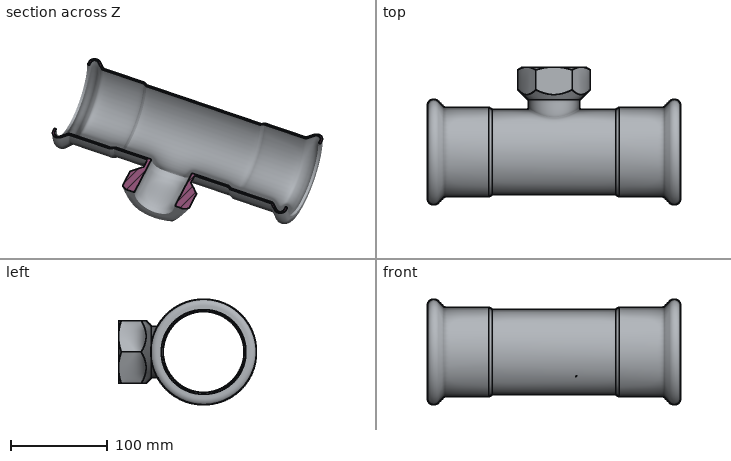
import cadquery as cq
import math

length = 262.0
half_length = length / 2
tube_radius = 88.8 / 2
socket_radius = 93.0 / 2
wall = 2.5
step_start = 63.5
step_end = 67.0

bead_radius = 6.5
bead_crest_radius = 54.8
bead_center_radius = bead_crest_radius - bead_radius
bead_root_blend = 1.8

neck_radius = 53.5 / 2
neck_blend = 1.3
branch_bore_radius = 22.5
nut_back = 54.2
nut_back_radius = 27.2
nut_front = 88.0
nut_flats = 65.0
nut_corner_radius = nut_flats / 2 / math.cos(math.radians(30))
front_chamfer_angle = math.radians(30)


def revolve_about_x(profile):
    return profile.close().revolve(360, (0, 0, 0), (1, 0, 0))


def tube_body(inset):
    """Tube centre length, reaching under the shoulders, shrunk radially by the inset."""
    return (
        cq.Workplane("YZ")
        .workplane(offset=-half_length + step_start)
        .circle(tube_radius - inset)
        .extrude(length - 2 * step_start)
    )


def socket(inset):
    """Left socket with its bead and shoulder, offset inward by the inset."""
    arc_radius = bead_radius - inset
    radius = socket_radius - inset
    center_x = -half_length + bead_radius
    half_turn = math.radians(45) / 2
    diagonal = arc_radius * math.sqrt(0.5)
    cone_start = (center_x + diagonal, bead_center_radius + diagonal)
    cone_end_x = cone_start[0] + cone_start[1] - radius
    blend_radius = bead_root_blend + inset
    blend = blend_radius * math.tan(half_turn)
    blend_start = (
        cone_end_x - blend * math.sqrt(0.5),
        radius + blend * math.sqrt(0.5),
    )
    blend_mid = (
        cone_end_x + blend - blend_radius * math.sin(half_turn),
        radius + blend_radius * (1 - math.cos(half_turn)),
    )
    profile = (
        cq.Workplane("XY")
        .moveTo(center_x - arc_radius, 0)
        .lineTo(center_x - arc_radius, bead_center_radius)
        .threePointArc((center_x, bead_center_radius + arc_radius), cone_start)
        .lineTo(*blend_start)
        .threePointArc(blend_mid, (cone_end_x + blend, radius))
        .lineTo(-half_length + step_start, radius)
        .lineTo(-half_length + step_end, tube_radius - inset)
        .lineTo(-half_length + step_end, 0)
    )
    return revolve_about_x(profile)


def run_body(inset):
    left = socket(inset)
    return tube_body(inset).union(left).union(left.mirror("YZ"))


def branch_cylinder(radius, end):
    return cq.Workplane("XZ").circle(radius).extrude(-end)


def nut():
    """Hexagon with corners on X, trimmed by a back cone and a front chamfer cone."""
    hexagon = (
        cq.Workplane("XZ", origin=(0, nut_back, 0))
        .polygon(6, 2 * nut_corner_radius)
        .extrude(nut_back - nut_front)
    )
    front_radius = nut_flats / 2
    chamfer_depth = (nut_corner_radius - front_radius) * math.tan(front_chamfer_angle)
    envelope = (
        cq.Workplane("XY")
        .moveTo(0, nut_back)
        .lineTo(nut_back_radius, nut_back)
        .lineTo(nut_corner_radius, nut_back + nut_corner_radius - nut_back_radius)
        .lineTo(nut_corner_radius, nut_front - chamfer_depth)
        .lineTo(front_radius, nut_front)
        .lineTo(0, nut_front)
        .close()
        .revolve(360, (0, 0, 0), (0, 1, 0))
    )
    return hexagon.intersect(envelope)


def add_neck(body):
    """Join the branch neck and blend its saddle-shaped foot into the tube."""
    joined = body.union(branch_cylinder(neck_radius, nut_back))
    reach = 2 * neck_radius + 2 * neck_blend
    foot_zone = cq.selectors.BoxSelector(
        (-reach / 2, neck_radius, -reach / 2),
        (reach / 2, nut_back - neck_blend, reach / 2),
    )
    return joined.edges(foot_zone).fillet(neck_blend)


def mouth():
    """Opening through the flat left end lip, level with the socket bore."""
    return (
        cq.Workplane("YZ")
        .workplane(offset=-half_length)
        .circle(socket_radius - wall)
        .extrude(bead_radius)
    )


result = add_neck(run_body(0)).union(nut())
result = result.cut(run_body(wall))
result = result.cut(mouth()).cut(mouth().mirror("YZ"))
result = result.cut(branch_cylinder(branch_bore_radius, nut_front))